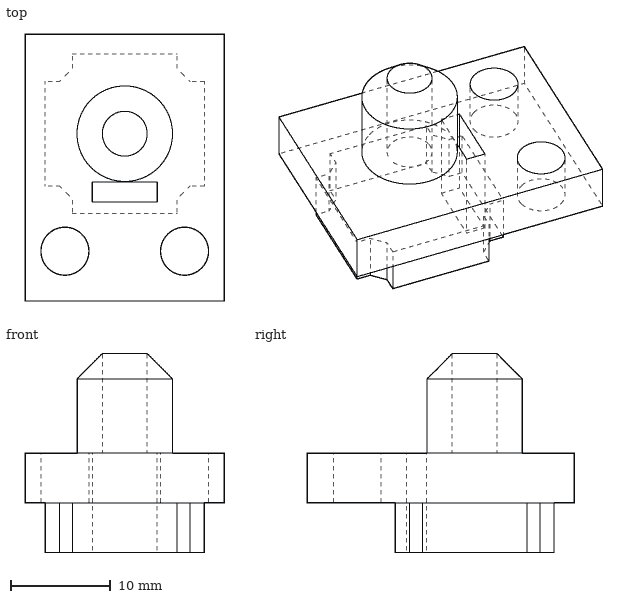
import cadquery as cq

plate_width = 20.0
plate_length = 26.8
total_height = 20.0
plate_thickness = total_height / 4

key_margin = 2.0
key_size = plate_width - 2 * key_margin
key_arm_width = 10.5
key_corner_leg = 1.29
key_height = total_height / 4
axis_y = plate_length / 2 - key_margin - key_size / 2

post_diameter = 9.6
bore_diameter = 4.5
post_height = total_height - plate_thickness - key_height
bore_depth = post_height
tip_chamfer = (post_diameter - bore_diameter) / 2

slot_length = 6.49
slot_width = 1.98
slot_gap = 0.05
slot_y = axis_y - post_diameter / 2 - slot_gap - slot_width / 2

mount_diameter = 4.8
mount_spacing = 12.0
mount_edge_distance = 5.0
mount_y = mount_edge_distance - plate_length / 2


def make_plate():
    return cq.Workplane("XY").box(
        plate_width, plate_length, plate_thickness, centered=(True, True, False)
    )


def make_key():
    """Cross with a 45 degree fill in each of its four inner corners."""
    base = cq.Workplane("XY", origin=(0, axis_y, -key_height))
    cross = base.rect(key_size, key_arm_width).extrude(key_height)
    cross = cross.union(base.rect(key_arm_width, key_size).extrude(key_height))
    core_size = key_arm_width + 2 * key_corner_leg
    core = base.rect(core_size, core_size).extrude(key_height).edges("|Z").chamfer(key_corner_leg)
    return cross.union(core)


def make_post():
    base = cq.Workplane("XY", origin=(0, axis_y, plate_thickness))
    post = base.circle(post_diameter / 2).extrude(post_height)
    tip = cq.Workplane("XY", origin=(0, axis_y, plate_thickness + post_height - tip_chamfer))
    blank_end = tip.circle(post_diameter / 2).extrude(tip_chamfer)
    cone = (
        tip.circle(post_diameter / 2)
        .workplane(offset=tip_chamfer)
        .circle(bore_diameter / 2)
        .loft(ruled=True)
    )
    return post.cut(blank_end).union(cone)


def make_bore():
    top = cq.Workplane("XY", origin=(0, axis_y, plate_thickness + post_height))
    return top.circle(bore_diameter / 2).extrude(-bore_depth)


def make_slot():
    base = cq.Workplane("XY", origin=(0, slot_y, -key_height))
    return base.rect(slot_length, slot_width).extrude(key_height + plate_thickness)


def make_mount_holes():
    base = cq.Workplane("XY", origin=(0, mount_y, 0))
    centres = [(side * mount_spacing / 2, 0) for side in (-1, 1)]
    return base.pushPoints(centres).circle(mount_diameter / 2).extrude(plate_thickness)


body = make_plate().union(make_key()).union(make_post())
result = body.cut(make_bore()).cut(make_slot()).cut(make_mount_holes())